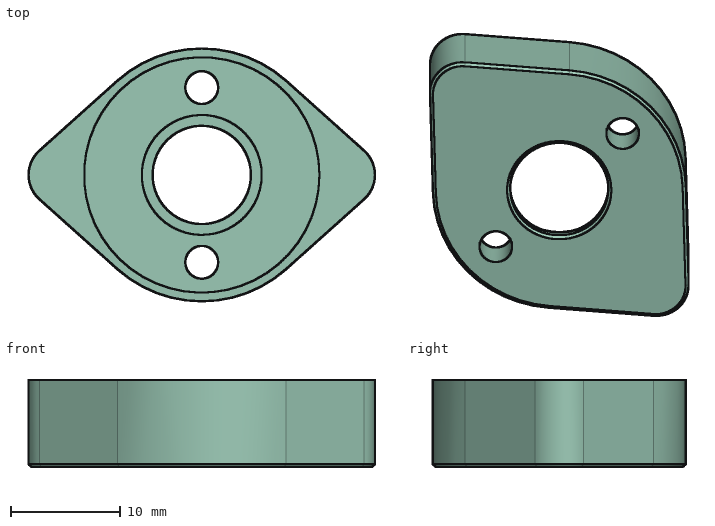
import cadquery as cq
import math

length = 31.8
width = 23.2
height = 8.0
end_radius = 3.0
bottom_chamfer = 0.3

recess_diameter = 21.6
recess_depth = 4.0
seat_diameter = 11.0
seat_depth = 3.0
bore_diameter = 9.0

pin_hole_diameter = 3.0
pin_hole_offset = 8.0

center_radius = width / 2
end_center_x = length / 2 - end_radius

flat_normal_angle = math.acos((center_radius - end_radius) / end_center_x)
normal_x = math.cos(flat_normal_angle)
normal_y = math.sin(flat_normal_angle)
center_tangent_x = center_radius * normal_x
center_tangent_y = center_radius * normal_y
end_tangent_x = end_center_x + end_radius * normal_x
end_tangent_y = end_radius * normal_y


def make_body():
    outline = (
        cq.Workplane("XY")
        .moveTo(-center_tangent_x, center_tangent_y)
        .threePointArc((0, center_radius), (center_tangent_x, center_tangent_y))
        .lineTo(end_tangent_x, end_tangent_y)
        .threePointArc((length / 2, 0), (end_tangent_x, -end_tangent_y))
        .lineTo(center_tangent_x, -center_tangent_y)
        .threePointArc((0, -center_radius), (-center_tangent_x, -center_tangent_y))
        .lineTo(-end_tangent_x, -end_tangent_y)
        .threePointArc((-length / 2, 0), (-end_tangent_x, end_tangent_y))
        .close()
    )
    return outline.extrude(height).faces("<Z").edges().chamfer(bottom_chamfer)


def cut_from_top(body, diameter, depth):
    """Cut a round pocket on the central axis, with depth measured from the top face."""
    pocket = cq.Workplane("XY").workplane(offset=height - depth).circle(diameter / 2).extrude(depth)
    return body.cut(pocket)


def chamfer_bore_bottom(body):
    """Break the lower edge of the bore with the same chamfer as the outer bottom edge."""
    bore_radius = bore_diameter / 2
    cone = cq.Solid.makeCone(bore_radius + bottom_chamfer, bore_radius, bottom_chamfer)
    return body.cut(cq.Workplane(cone))


def cut_pin_holes(body):
    positions = [(0, -pin_hole_offset), (0, pin_hole_offset)]
    holes = cq.Workplane("XY").pushPoints(positions).circle(pin_hole_diameter / 2).extrude(height)
    return body.cut(holes)


result = make_body()
result = cut_from_top(result, recess_diameter, recess_depth)
result = cut_from_top(result, seat_diameter, recess_depth + seat_depth)
result = cut_from_top(result, bore_diameter, height)
result = chamfer_bore_bottom(result)
result = cut_pin_holes(result)